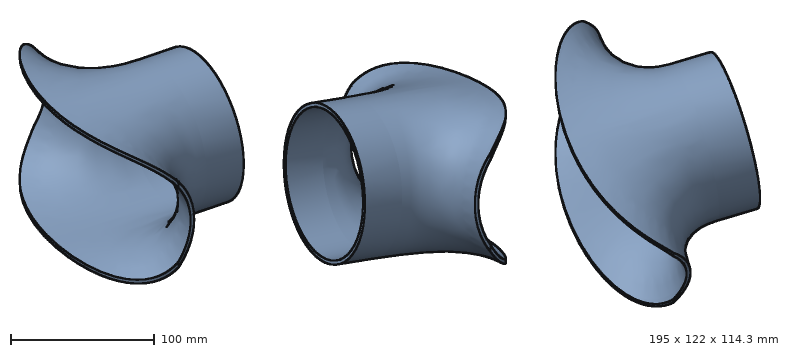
import cadquery as cq
import math

outer_diameter = 114.3
bore_diameter = 108.2
outer_radius = outer_diameter / 2
bore_radius = bore_diameter / 2

branch_end = 122.0
flare_start = 92.0

flare_half_length = 95.0
outer_flare_depth = 55.4
inner_flare_depth = 53.6
brim_half_length = 100.0
overall_length = 195.0

oversize_half_length = 103.4
oversize_depth_margin = 0.4
trim_size = 2 * overall_length

flare_fullness = 0.62

section_count = 48
brim_steps = 6
joint_tolerance = 0.01


def saddle_point(radius, half_length, depth, angle):
    """Point on the main pipe whose XY position lies on a half ellipse hung from the pipe crest."""
    sine = math.sin(angle)
    x = half_length * math.cos(angle) * math.sqrt(1 + sine**2)
    y = radius - depth * sine**2
    z = sine * math.sqrt(depth * (2 * radius - depth * sine**2))
    return cq.Vector(x, y, z)


def flare_edge(radius, depth, angle):
    """Flare curve at one angle, tangent to the branch at its start and to the main pipe at its end."""
    start = cq.Vector(radius * math.cos(angle), flare_start, radius * math.sin(angle))
    end = saddle_point(radius, flare_half_length, depth, angle)
    corner = cq.Vector(start.x, (radius**2 - start.z * end.z) / end.y, start.z)
    start_handle = start + (corner - start) * flare_fullness
    end_handle = end + (corner - end) * flare_fullness
    return cq.Edge.makeBezier([start, start_handle, end_handle, end])


def brim_edge(radius, depth, angle):
    """Curve along the main pipe from the end of the flare to the oversize edge."""
    oversize_depth = radius + oversize_depth_margin
    fractions = [step / brim_steps for step in range(brim_steps + 1)]
    points = []
    for fraction in fractions:
        half_length = flare_half_length + fraction * (oversize_half_length - flare_half_length)
        point_depth = depth + fraction * (oversize_depth - depth)
        points.append(saddle_point(radius, half_length, point_depth, angle))
    return cq.Edge.makeSpline(points, parameters=fractions)


def wall_section(angle):
    """Closed section of the saddle wall at one angle around the branch axis."""
    outer_flare = flare_edge(outer_radius, outer_flare_depth, angle)
    outer_brim = brim_edge(outer_radius, outer_flare_depth, angle)
    inner_flare = flare_edge(bore_radius, inner_flare_depth, angle)
    inner_brim = brim_edge(bore_radius, inner_flare_depth, angle)
    lip = cq.Edge.makeLine(outer_brim.endPoint(), inner_brim.endPoint())
    joint = cq.Edge.makeLine(inner_flare.startPoint(), outer_flare.startPoint())
    return cq.Wire.assembleEdges([outer_flare, outer_brim, lip, inner_brim, inner_flare, joint])


def make_oversize_saddle():
    """Ring-shaped loft of the wall sections, closed by repeating the first section."""
    sections = [wall_section(2 * math.pi * i / section_count) for i in range(section_count)]
    sections.append(sections[0])
    return cq.Workplane(obj=cq.Solid.makeLoft(sections))


def make_brim_outline():
    """Prism along Z that trims the saddle: a half-elliptical edge, cut square at both X ends."""
    square_ends = cq.Workplane("XY").box(overall_length, trim_size, trim_size)
    ellipse_prism = (
        cq.Workplane("XY", origin=(0, 0, -trim_size / 2))
        .moveTo(-brim_half_length, outer_radius)
        .ellipseArc(brim_half_length, outer_radius, 180, 360, startAtCurrent=True)
        .lineTo(brim_half_length, branch_end)
        .lineTo(-brim_half_length, branch_end)
        .close()
        .extrude(trim_size)
    )
    return ellipse_prism.intersect(square_ends)


def make_branch():
    """Straight tube from the flare to the free end."""
    return (
        cq.Workplane("XZ", origin=(0, flare_start, 0))
        .circle(outer_radius)
        .circle(bore_radius)
        .extrude(flare_start - branch_end)
    )


saddle = make_oversize_saddle().intersect(make_brim_outline())
result = make_branch().union(saddle, tol=joint_tolerance)